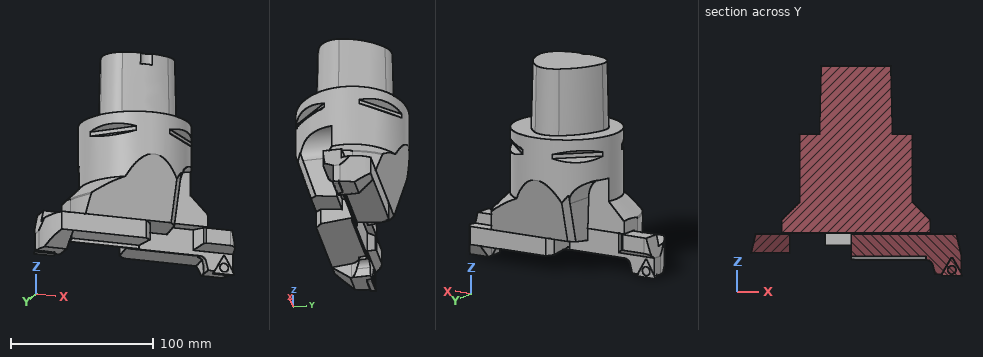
import cadquery as cq
import math


SHANK_HEIGHT = 48.0
LOBE_REACH = 29.5
FLANK_REACH = 25.2
JOINT_REACH = 27.97
JOINT_ANGLE = 20.7
SHANK_TAPER = 1.12
NOTCH_RADIUS = 6.0
NOTCH_FLOOR = 22.0
NOTCH_HEIGHT = 8.2

COLLAR_RADIUS = 80.0 / 2
COLLAR_HEIGHT = 47.5
FLARE_RADIUS = 53.2
FLARE_ROUND = 1.5
FLARE_HALF_LENGTH = 52.2
GROOVE_MIDDLE = 12.3
GROOVE_FLOOR_WIDTH = 3.0
GROOVE_MOUTH_WIDTH = 8.5
GROOVE_FLOOR_REACH = 35.7

HALF_WIDTH = 26.2
KEY_HALF_WIDTH = 6.7
SEAT_OUTER = -75.5
SEAT_INNER = -78.1
KEYWAY_ROOF = -69.5

FLAT_TOP = -30.6
POCKET_ROOF = -30.7
POCKET_ROUND = 15.6
POCKET_WALL = 22.6
POCKET_WALL_LEAN = 0.033
POCKET_BEVEL = 4.0

RAKE_Y = 1.5
SLIDE_INNER_END = 3.5
SLIDE_CORNER = 4.3
SLIDE_BOTTOM = -88.5
SLIDE_HOLLOW = -86.0
LIP_WIDTH = 1.2
KEY_TOP = -70.0
END_FLAT = 74.1
END_FLAT_EDGE = 6.3
END_CORNER = 64.2
END_ARC_MIDDLE = (70.6, 16.8)
END_TILT_REACH = 70.6
END_TILT_FOOT = -84.9
LEG_INNER = 55.5
LEG_BOTTOM = -98.5
LEG_DEPTH = 14.5
WEB_START = 49.0
WEB_ARC_MIDDLE = (52.5, -89.8)
WEB_ARC_END = (54.0, -92.5)
WEB_CUTTER_RADIUS = 6.7
WEB_WIDTH_EDGE = 12.3
GUARD_INNER = 44.2
GUARD_WALL_END = (49.5, -6.1)
GUARD_EDGE = 51.0
GUARD_CORNER = 68.8
GUARD_ROUND = 6.0
GUARD_LOWER = -81.3
GUARD_FOOT = -85.0

TIP_Z = -100.0
TIP_X = 75.0
INSERT_INRADIUS = 4.6
INSERT_NOSE = 0.6
INSERT_THICKNESS = 3.9
INSERT_RELIEF = 7.0
INSERT_HOLE = 6.3

FAR = 150.0


def opposite(shape):
    """The same shape turned half a turn about the tool axis."""
    return shape.rotate((0, 0, 0), (0, 0, 1), 180)


def along_x(profile, start, end):
    """Prism of a (Y, Z) profile from X = start to X = end."""
    return cq.Workplane("YZ", origin=(start, 0, 0)).polyline(profile).close().extrude(end - start)


def along_y(profile, start, end):
    """Prism of an (X, Z) profile from Y = start to Y = end."""
    return cq.Workplane("XZ", origin=(0, start, 0)).polyline(profile).close().extrude(start - end)



def shank_section(height, shrink):
    def at(reach, degrees):
        angle = math.radians(degrees)
        return ((reach - shrink) * math.cos(angle), (reach - shrink) * math.sin(angle))

    section = cq.Workplane("XY", origin=(0, 0, height)).moveTo(*at(JOINT_REACH, 90 - JOINT_ANGLE))
    for crest in (90, 210, 330):
        section = section.threePointArc(at(LOBE_REACH, crest), at(JOINT_REACH, crest + JOINT_ANGLE))
        section = section.threePointArc(at(FLANK_REACH, crest + 60), at(JOINT_REACH, crest + 120 - JOINT_ANGLE))
    return section.wire().val()


def make_shank():
    foot = shank_section(0, 0)
    top = shank_section(SHANK_HEIGHT, SHANK_TAPER)
    shank = cq.Workplane(cq.Solid.makeLoft([foot, top], True))
    notch = (
        cq.Workplane("XY", origin=(0, -NOTCH_FLOOR - NOTCH_RADIUS, SHANK_HEIGHT - NOTCH_HEIGHT))
        .circle(NOTCH_RADIUS)
        .extrude(NOTCH_HEIGHT)
    )
    return shank.cut(notch)


def make_collar():
    flare_foot = -COLLAR_HEIGHT - (FLARE_RADIUS - COLLAR_RADIUS)
    profile = [
        (0, 0),
        (COLLAR_RADIUS, 0),
        (COLLAR_RADIUS, -COLLAR_HEIGHT),
        (FLARE_RADIUS, flare_foot),
        (FLARE_RADIUS, SEAT_INNER),
        (0, SEAT_INNER),
    ]
    collar = cq.Workplane("XZ").polyline(profile).close().revolve(360, (0, 0, 0), (0, 1, 0))
    side = along_x([(-FAR, -FAR), (FAR, -FAR), (FAR, 0), (-FAR, 0)], FLARE_HALF_LENGTH, FAR)
    collar = collar.cut(side).cut(opposite(side))
    near_rim = 0.1
    rim = cq.selectors.BoxSelector(
        (-FAR, -FAR, flare_foot - near_rim), (FAR, FAR, flare_foot + near_rim), boundingbox=True
    )
    return collar.edges(rim).fillet(FLARE_ROUND)


def gripper_grooves():
    mouth = GROOVE_MOUTH_WIDTH / 2
    floor = GROOVE_FLOOR_WIDTH / 2
    profile = [
        (GROOVE_FLOOR_REACH, -GROOVE_MIDDLE - floor),
        (COLLAR_RADIUS, -GROOVE_MIDDLE - mouth),
        (COLLAR_RADIUS, -GROOVE_MIDDLE + mouth),
        (GROOVE_FLOOR_REACH, -GROOVE_MIDDLE + floor),
    ]
    groove = along_y(profile, -COLLAR_RADIUS, COLLAR_RADIUS)
    return [groove.rotate((0, 0, 0), (0, 0, 1), angle) for angle in (45, 135, 225, 315)]


def flat_y(z):
    """Y of the front sloped flat at height z."""
    slope = (COLLAR_RADIUS - HALF_WIDTH) / (FLAT_TOP - SEAT_OUTER)
    return -COLLAR_RADIUS + slope * (FLAT_TOP - z)


def wall_x(z):
    """X of the leaning pocket wall at height z."""
    return POCKET_WALL + POCKET_WALL_LEAN * (z - POCKET_ROOF + POCKET_ROUND)


def sloped_flat():
    low = -FAR
    return along_x([(flat_y(0), 0), (flat_y(low), low), (-FAR, low), (-FAR, 0)], -FAR, FAR)


def chip_pocket():
    low = -FAR
    round_foot = POCKET_ROOF - POCKET_ROUND
    middle = POCKET_ROUND * math.sqrt(0.5)
    center_x = POCKET_WALL + POCKET_ROUND
    return (
        cq.Workplane("XZ", origin=(0, -KEY_HALF_WIDTH, 0))
        .moveTo(wall_x(low), low)
        .lineTo(POCKET_WALL, round_foot)
        .threePointArc((center_x - middle, round_foot + middle), (center_x, POCKET_ROOF))
        .lineTo(FAR, POCKET_ROOF)
        .lineTo(FAR, low)
        .close()
        .extrude(FAR)
    )


def pocket_bevel():
    """Bevel along the edge between the pocket wall and the sloped flat."""
    top = POCKET_ROOF - POCKET_ROUND / 2
    bottom = SEAT_INNER
    start = cq.Vector(wall_x(bottom), flat_y(bottom), bottom)
    edge = cq.Vector(wall_x(top), flat_y(top), top) - start
    plane = cq.Plane(origin=start, xDir=(1, 0, 0), normal=edge.normalized())
    clear = POCKET_BEVEL * 2
    profile = [(-POCKET_BEVEL - clear, -clear), (0, POCKET_BEVEL), (clear, POCKET_BEVEL), (clear, -clear)]
    return cq.Workplane(plane).polyline(profile).close().extrude(edge.Length)


def underside():
    """Everything below the two slide seats and inside the keyway."""
    return along_x(
        [
            (-HALF_WIDTH, SEAT_OUTER),
            (-KEY_HALF_WIDTH, SEAT_INNER),
            (-KEY_HALF_WIDTH, KEYWAY_ROOF),
            (KEY_HALF_WIDTH, KEYWAY_ROOF),
            (KEY_HALF_WIDTH, SEAT_INNER),
            (HALF_WIDTH, SEAT_OUTER),
            (FAR, SEAT_OUTER),
            (FAR, -FAR),
            (-FAR, -FAR),
            (-FAR, SEAT_OUTER),
        ],
        -FAR,
        FAR,
    )


def make_holder():
    holder = make_collar()
    for groove in gripper_grooves():
        holder = holder.cut(groove)
    for cutter in (sloped_flat(), chip_pocket(), pocket_bevel()):
        holder = holder.cut(cutter).cut(opposite(cutter))
    return holder.cut(underside()).union(make_shank())



def make_insert(rake):
    """Insert of the +X slide with its rake face at Y = rake."""
    center_x = TIP_X - math.sqrt(3) * INSERT_INRADIUS + (math.sqrt(3) - 1) * INSERT_NOSE
    center_z = TIP_Z + INSERT_INRADIUS
    half_side = math.sqrt(3) * INSERT_INRADIUS
    triangle = [(-half_side, -INSERT_INRADIUS), (half_side, -INSERT_INRADIUS), (0, 2 * INSERT_INRADIUS)]
    outline = cq.Sketch().polygon([*triangle, triangle[0]]).vertices().fillet(INSERT_NOSE)
    face = cq.Workplane("XZ", origin=(center_x, rake, center_z))
    blank = face.placeSketch(outline).extrude(-INSERT_THICKNESS, taper=INSERT_RELIEF)
    return blank.cut(face.circle(INSERT_HOLE / 2).extrude(-INSERT_THICKNESS))



def slide_plan(rake):
    """Full-height prism of the slide outline behind the rake plane."""
    return (
        cq.Workplane("XY", origin=(0, 0, TIP_Z))
        .moveTo(-SLIDE_INNER_END, rake)
        .lineTo(END_FLAT, rake)
        .lineTo(END_FLAT, END_FLAT_EDGE)
        .threePointArc(END_ARC_MIDDLE, (END_CORNER, HALF_WIDTH))
        .lineTo(SLIDE_CORNER - SLIDE_INNER_END, HALF_WIDTH)
        .lineTo(-SLIDE_INNER_END, HALF_WIDTH - SLIDE_CORNER)
        .close()
        .extrude(KEY_TOP - TIP_Z)
    )


def bar_and_leg(rake):
    lip = rake + LIP_WIDTH
    bar = [
        (rake, KEY_TOP),
        (KEY_HALF_WIDTH, KEY_TOP),
        (KEY_HALF_WIDTH, SEAT_INNER),
        (HALF_WIDTH, SEAT_OUTER),
        (HALF_WIDTH, SLIDE_BOTTOM),
        (lip, SLIDE_HOLLOW),
        (lip, SLIDE_BOTTOM),
        (rake, SLIDE_BOTTOM),
    ]
    leg = [
        (rake, SEAT_INNER),
        (KEY_HALF_WIDTH, SEAT_INNER),
        (HALF_WIDTH, SEAT_OUTER),
        (HALF_WIDTH, SLIDE_BOTTOM),
        (rake + LEG_DEPTH, LEG_BOTTOM),
        (rake, LEG_BOTTOM),
    ]
    body = along_x(bar, -SLIDE_INNER_END, END_FLAT).union(along_x(leg, LEG_INNER, END_FLAT))
    return body.intersect(slide_plan(rake))


def leg_web(rake):
    """Rounded web that joins the leg to the bar."""
    web = (
        cq.Workplane("XZ", origin=(0, rake, 0))
        .moveTo(LEG_INNER, SEAT_INNER)
        .lineTo(WEB_START, SEAT_INNER)
        .lineTo(WEB_START, SLIDE_BOTTOM)
        .threePointArc(WEB_ARC_MIDDLE, WEB_ARC_END)
        .lineTo(LEG_INNER, LEG_BOTTOM)
        .close()
        .extrude(rake - WEB_WIDTH_EDGE)
    )
    cutter = (
        cq.Workplane("XY", origin=(LEG_INNER - WEB_CUTTER_RADIUS, WEB_WIDTH_EDGE, LEG_BOTTOM))
        .circle(WEB_CUTTER_RADIUS)
        .extrude(SLIDE_HOLLOW - LEG_BOTTOM)
    )
    return web.cut(cutter)


def guard_block(rake):
    """Block in front of the rake plane, above the insert."""
    front = -KEY_HALF_WIDTH
    turn = math.asin((END_FLAT - GUARD_CORNER) / GUARD_ROUND)

    def on_round(angle):
        return (
            GUARD_CORNER + GUARD_ROUND * math.sin(angle),
            front + GUARD_ROUND * (1 - math.cos(angle)),
        )

    block = (
        cq.Workplane("XY", origin=(0, 0, GUARD_FOOT))
        .moveTo(GUARD_INNER, rake)
        .lineTo(*GUARD_WALL_END)
        .lineTo(GUARD_EDGE, front)
        .lineTo(GUARD_CORNER, front)
        .threePointArc(on_round(turn / 2), on_round(turn))
        .lineTo(END_FLAT, rake)
        .close()
        .extrude(KEY_TOP - GUARD_FOOT)
    )
    side = [(front, GUARD_LOWER), (rake, GUARD_FOOT), (rake, KEY_TOP), (front, KEY_TOP)]
    return block.intersect(along_x(side, GUARD_INNER, END_FLAT))


def tilted_end():
    """Wedge that leans the upper part of the outer end inward."""
    profile = [(END_FLAT, END_TILT_FOOT), (END_TILT_REACH, KEY_TOP), (END_FLAT, KEY_TOP)]
    return along_y(profile, -HALF_WIDTH, HALF_WIDTH)


def make_slide(rake):
    """Slide of the +X side with its rake plane at Y = rake, recessed for its insert."""
    slide = bar_and_leg(rake).union(leg_web(rake)).union(guard_block(rake))
    return slide.cut(tilted_end()).cut(make_insert(rake))


holder = make_holder()
slides = [make_slide(RAKE_Y), opposite(make_slide(-RAKE_Y))]
inserts = [make_insert(RAKE_Y), opposite(make_insert(-RAKE_Y))]

result = cq.Compound.makeCompound([body.solids().val() for body in [holder, *slides, *inserts]])